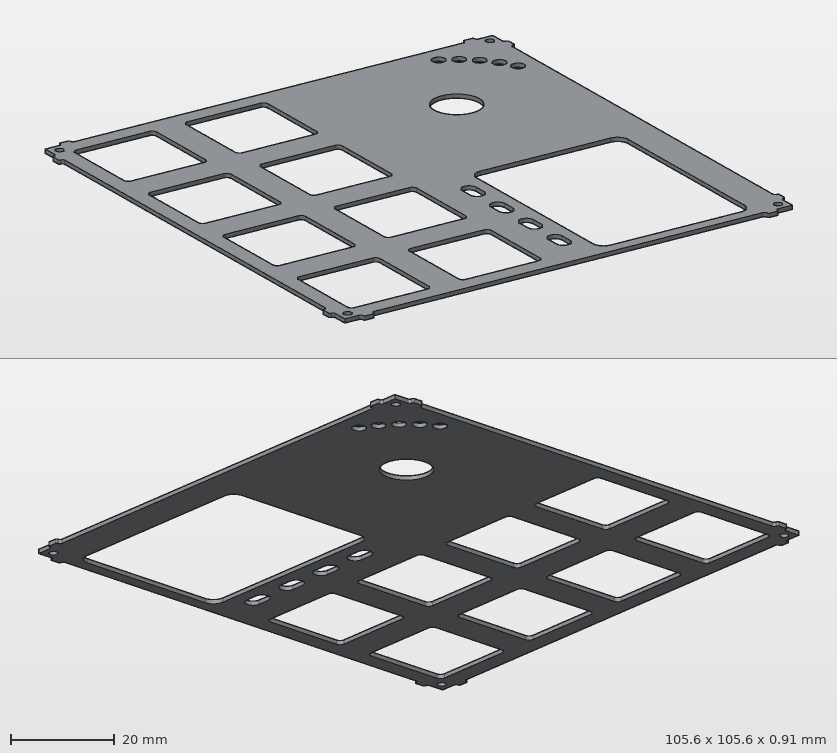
import cadquery as cq
import math

OVERALL = 105.6
THICKNESS = 0.91
TAB_DEPTH = 1.0
TAB_LENGTH = 2.4
TAB_TIP_RADIUS = 0.3
TAB_ROOT_RADIUS = 0.5
TAB_OVERLAP = 0.5
TAB_OFFSET = 46.8
BODY = OVERALL - 2 * TAB_DEPTH

SCREW_DIAMETER = 1.8
SCREW_OFFSET = 49.8

KEY_COLUMNS = 4
KEY_ROWS = 2
KEY_SIZE = 18.9
KEY_RADIUS = 1.0
KEY_PITCH = 25.8
KEY_GRID_Y = -25.8

DISPLAY_X = 26.6
UPPER_ROW_Y = 26.6
DISPLAY_WIDTH = 45.1
DISPLAY_HEIGHT = 35.1
DISPLAY_RADIUS = 2.4
SLOT_COUNT = 4
SLOT_PITCH = 9.9
SLOT_LENGTH = 5.9
SLOT_WIDTH = 3.2
SLOT_Y = 4.8

KNOB_X = -DISPLAY_X
KNOB_DIAMETER = 10.5
INDICATOR_DIAMETER = 2.9
INDICATOR_COUNT = 5
INDICATOR_ARC_RADIUS = 22.8
INDICATOR_FIRST_ANGLE = 115
INDICATOR_ANGLE_STEP = 10


def block(width, height):
    """Box of plate thickness centred on the origin, standing on Z = 0."""
    return cq.Workplane("XY").box(width, height, THICKNESS, centered=(True, True, False))


def rounded_block(width, height, radius):
    return block(width, height).edges("|Z").fillet(radius)


def cylinders(points, diameter):
    return cq.Workplane("XY").pushPoints(points).circle(diameter / 2).extrude(THICKNESS)


def corner_points(offset):
    return [(x, y) for x in (-offset, offset) for y in (-offset, offset)]


def tab_profile():
    """Tab on the +Y edge at X = 0, with rounded tip corners and filleted roots."""
    tip = OVERALL / 2
    edge = BODY / 2
    half = TAB_LENGTH / 2
    root = half + TAB_ROOT_RADIUS
    return (
        cq.Workplane("XY")
        .moveTo(-root, edge)
        .radiusArc((-half, edge + TAB_ROOT_RADIUS), -TAB_ROOT_RADIUS)
        .lineTo(-half, tip - TAB_TIP_RADIUS)
        .radiusArc((-half + TAB_TIP_RADIUS, tip), TAB_TIP_RADIUS)
        .lineTo(half - TAB_TIP_RADIUS, tip)
        .radiusArc((half, tip - TAB_TIP_RADIUS), TAB_TIP_RADIUS)
        .lineTo(half, edge + TAB_ROOT_RADIUS)
        .radiusArc((root, edge), -TAB_ROOT_RADIUS)
        .lineTo(root, edge - TAB_OVERLAP)
        .lineTo(-root, edge - TAB_OVERLAP)
        .close()
    )


def plate():
    """Square sheet with two tabs on each of its four edges."""
    body = block(BODY, BODY)
    tab = tab_profile().extrude(THICKNESS)
    for quarter_turn in range(4):
        for offset in (-TAB_OFFSET, TAB_OFFSET):
            placed = tab.translate((offset, 0, 0))
            body = body.union(placed.rotate((0, 0, 0), (0, 0, 1), 90 * quarter_turn))
    return body


def cut_key_windows(body):
    window = rounded_block(KEY_SIZE, KEY_SIZE, KEY_RADIUS)
    for column in range(KEY_COLUMNS):
        for row in range(KEY_ROWS):
            x = (column - (KEY_COLUMNS - 1) / 2) * KEY_PITCH
            y = KEY_GRID_Y + (row - (KEY_ROWS - 1) / 2) * KEY_PITCH
            body = body.cut(window.translate((x, y, 0)))
    return body


def cut_knob_and_indicators(body):
    indicators = []
    for index in range(INDICATOR_COUNT):
        angle = math.radians(INDICATOR_FIRST_ANGLE + index * INDICATOR_ANGLE_STEP)
        x = KNOB_X + INDICATOR_ARC_RADIUS * math.cos(angle)
        y = UPPER_ROW_Y + INDICATOR_ARC_RADIUS * math.sin(angle)
        indicators.append((x, y))
    body = body.cut(cylinders([(KNOB_X, UPPER_ROW_Y)], KNOB_DIAMETER))
    return body.cut(cylinders(indicators, INDICATOR_DIAMETER))


def cut_display_and_slots(body):
    display = rounded_block(DISPLAY_WIDTH, DISPLAY_HEIGHT, DISPLAY_RADIUS)
    body = body.cut(display.translate((DISPLAY_X, UPPER_ROW_Y, 0)))
    slots = (
        cq.Workplane("XY")
        .center(DISPLAY_X, SLOT_Y)
        .rarray(SLOT_PITCH, 1.1, SLOT_COUNT, 1)
        .slot2D(SLOT_LENGTH, SLOT_WIDTH)
        .extrude(THICKNESS)
    )
    return body.cut(slots)


result = plate()
result = result.cut(cylinders(corner_points(SCREW_OFFSET), SCREW_DIAMETER))
result = cut_key_windows(result)
result = cut_knob_and_indicators(result)
result = cut_display_and_slots(result)